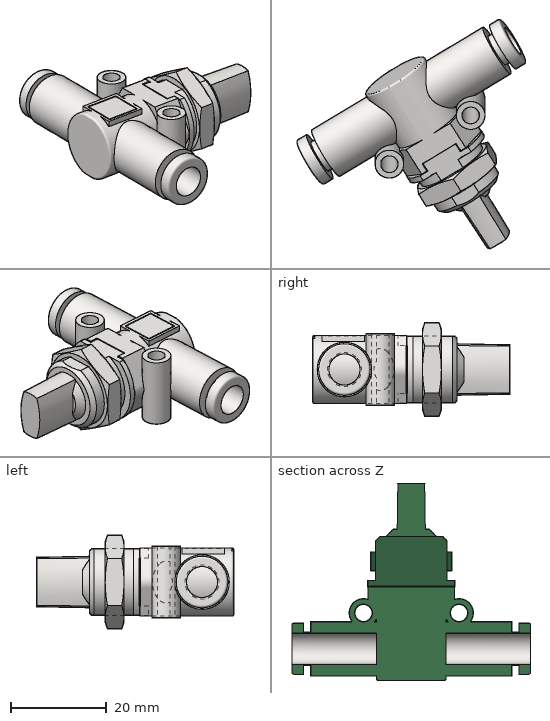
import cadquery as cq
import math


overall_length = 50.0
tube_radius = 5.7
tube_end = 21.05
neck_radius = 3.55
collar_start = 22.5
collar_radius = 5.4
collar_round = 0.5
bore_radius = 3.25

barrel_radius = 7.3
barrel_front = -6.65
barrel_round = 0.45
housing_flat_z = 7.15

shoulder_start = 6.75
shoulder_end = 12.95
shoulder_half_width = 9.15
shoulder_corner_radius = 2.5

plate_width = 8.6
plate_front = -4.7
plate_back = 4.2
plate_rim = 0.75
plate_recess_depth = 0.15

lug_x = 10.0
lug_y = 7.5
lug_radius = 3.0
lug_hole_radius = 1.8
lug_half_height = 7.5

joint_gap = 0.15
bonnet_radius = 7.5
bonnet_flat_z = 7.0
bonnet_start = shoulder_end + joint_gap
bonnet_flange_end = 14.3
bonnet_end = 23.55
bonnet_chamfer = 0.95
tab_width = 8.0
tab_depth = 2.0
tab_end = 11.15

nut_corner_diameter = 19.65
nut_start = 16.3
nut_end = 20.3
nut_chamfer_depth = 0.5
nut_face_radius = 8.4

knob_end = 34.6
cone_base_radius = 5.25
cone_height = 1.5
blade_base = {"side_x": 3.05, "corner_x": 2.15, "corner_z": 5.0, "top_z": 5.4}
blade_tip = {"side_x": 2.85, "corner_x": 1.95, "corner_z": 4.9, "top_z": 5.2}


def plane_at(y):
    """XZ workplane at a given Y; extruding by a negative length goes toward +Y."""
    return cq.Workplane("XZ", origin=(0, y, 0))


def block(x_size, y_start, y_end, z_bottom, z_top):
    """Box centred on X = 0."""
    return (
        cq.Workplane("XY", origin=(0, (y_start + y_end) / 2, z_bottom))
        .rect(x_size, y_end - y_start)
        .extrude(z_top - z_bottom)
    )


def slab(y_start, y_end, half_height):
    """Block wider than the part that limits a turned shape to two flats."""
    return block(overall_length, y_start, y_end, -half_height, half_height)


def make_port(side):
    """Hollow tube with its neck and collar; side is +1 or -1 along X."""
    half_length = overall_length / 2

    def rod(radius, start, end):
        return cq.Workplane("YZ", origin=(side * start, 0, 0)).circle(radius).extrude(side * (end - start))

    collar = rod(collar_radius, collar_start, half_length)
    collar = collar.faces(">X" if side > 0 else "<X").edges().fillet(collar_round)
    port = rod(tube_radius, 0, tube_end).union(rod(neck_radius, 0, half_length)).union(collar)
    return port.cut(rod(bore_radius, 0, half_length))


def make_barrel():
    """Solid barrel; it closes the inner ends of the port bores."""
    length = shoulder_start - barrel_front
    barrel = plane_at(barrel_front).circle(barrel_radius).extrude(-length)
    barrel = barrel.intersect(slab(barrel_front, shoulder_start, housing_flat_z))
    return barrel.faces("<Y").edges().fillet(barrel_round)


def make_shoulder():
    """Hexagon-sided shoulder with rounded side corners and wide flats above and below."""
    side_angle = math.radians(30)
    corner_x = shoulder_half_width + shoulder_corner_radius * (1 / math.cos(side_angle) - 1)
    flat_half_width = corner_x - housing_flat_z * math.tan(side_angle)
    outline = [
        (corner_x, 0),
        (flat_half_width, housing_flat_z),
        (-flat_half_width, housing_flat_z),
        (-corner_x, 0),
        (-flat_half_width, -housing_flat_z),
        (flat_half_width, -housing_flat_z),
    ]
    shoulder = plane_at(shoulder_start).polyline(outline).close().extrude(shoulder_start - shoulder_end)
    return shoulder.edges("|Y and (<X or >X)").fillet(shoulder_corner_radius)


def make_label_plate():
    """Plate with a shallow recess inside its rim."""
    plate = block(plate_width, plate_front, plate_back, 0, housing_flat_z)
    recess = block(
        plate_width - 2 * plate_rim,
        plate_front + plate_rim,
        plate_back - plate_rim,
        housing_flat_z - plate_recess_depth,
        housing_flat_z,
    )
    return plate, recess


def make_lug_cylinders(radius):
    """Vertical cylinders at both lug positions."""
    return (
        cq.Workplane("XY", origin=(0, lug_y, -lug_half_height))
        .pushPoints([(-lug_x, 0), (lug_x, 0)])
        .circle(radius)
        .extrude(2 * lug_half_height)
    )


def make_housing():
    plate, plate_recess = make_label_plate()
    housing = make_barrel().union(make_shoulder()).union(plate)
    for side in (-1, 1):
        housing = housing.union(make_port(side))
    housing = housing.union(make_lug_cylinders(lug_radius))
    housing = housing.cut(make_lug_cylinders(lug_hole_radius)).cut(plate_recess)
    slot_width = tab_width + 2 * joint_gap
    slot_floor = bonnet_flat_z - tab_depth
    for z_bottom, z_top in ((slot_floor, housing_flat_z), (-housing_flat_z, -slot_floor)):
        housing = housing.cut(block(slot_width, tab_end, shoulder_end, z_bottom, z_top))
    return housing


def make_bonnet():
    sleeve = plane_at(bonnet_start).circle(bonnet_radius).extrude(bonnet_start - bonnet_end)
    sleeve = sleeve.faces(">Y").edges().chamfer(bonnet_chamfer)
    flange = plane_at(bonnet_start).circle(shoulder_half_width).extrude(bonnet_start - bonnet_flange_end)
    bonnet = sleeve.union(flange)
    bonnet = bonnet.intersect(slab(bonnet_start, bonnet_end, bonnet_flat_z))
    tab_inner_z = bonnet_flat_z - tab_depth
    for z_bottom, z_top in ((tab_inner_z, bonnet_flat_z), (-bonnet_flat_z, -tab_inner_z)):
        bonnet = bonnet.union(block(tab_width, tab_end, bonnet_flange_end, z_bottom, z_top))
    return bonnet


def make_nut():
    """Hexagon nut, corners up and down, chamfered on both faces; its bore fits the bonnet flats."""
    corner_radius = nut_corner_diameter / 2
    hexagon = (
        plane_at(nut_start)
        .transformed(rotate=(0, 0, 90))
        .polygon(6, nut_corner_diameter)
        .extrude(nut_start - nut_end)
    )
    chamfer_profile = [
        (0, nut_start),
        (nut_face_radius, nut_start),
        (corner_radius, nut_start + nut_chamfer_depth),
        (corner_radius, nut_end - nut_chamfer_depth),
        (nut_face_radius, nut_end),
        (0, nut_end),
    ]
    envelope = cq.Workplane("XY").polyline(chamfer_profile).close().revolve(360, (0, 0), (0, 1))
    bore = plane_at(nut_start).circle(bonnet_radius).extrude(nut_start - nut_end)
    bore = bore.intersect(slab(nut_start, nut_end, bonnet_flat_z))
    return hexagon.intersect(envelope).cut(bore)


def blade_wire(y, size):
    """Blade section at a given Y: four arcs meeting at four corners."""
    side_x, corner_x = size["side_x"], size["corner_x"]
    corner_z, top_z = size["corner_z"], size["top_z"]
    return (
        plane_at(y)
        .moveTo(corner_x, -corner_z)
        .threePointArc((side_x, 0), (corner_x, corner_z))
        .threePointArc((0, top_z), (-corner_x, corner_z))
        .threePointArc((-side_x, 0), (-corner_x, -corner_z))
        .threePointArc((0, -top_z), (corner_x, -corner_z))
        .close()
        .val()
    )


def make_knob():
    cone_profile = [
        (0, bonnet_end),
        (cone_base_radius, bonnet_end),
        (cone_base_radius - cone_height, bonnet_end + cone_height),
        (0, bonnet_end + cone_height),
    ]
    cone = cq.Workplane("XY").polyline(cone_profile).close().revolve(360, (0, 0), (0, 1))
    sections = [blade_wire(bonnet_end, blade_base), blade_wire(knob_end, blade_tip)]
    blade = cq.Workplane(cq.Solid.makeLoft(sections, True))
    return cone.union(blade)


housing = make_housing()
bonnet = make_bonnet()
nut = make_nut()
knob = make_knob()

result = cq.Compound.makeCompound([housing.val(), bonnet.val(), nut.val(), knob.val()])